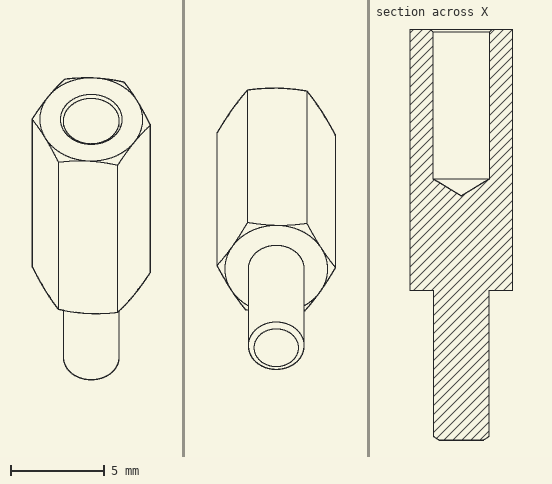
import cadquery as cq
import math

total_length = 22.0
stud_length = 8.0
across_flats = 5.5
thread_diameter = 3.0

corner_chamfer_angle = math.radians(30)
stud_chamfer_width = 0.3
stud_chamfer_height = 0.2

countersink_diameter = 3.3
countersink_depth = (countersink_diameter - thread_diameter) / 2
hole_depth = 8.0
drill_point_half_angle = math.radians(59)

flat_radius = across_flats / 2
thread_radius = thread_diameter / 2
corner_radius = flat_radius / math.cos(math.radians(30))
corner_chamfer_height = (corner_radius - flat_radius) * math.tan(corner_chamfer_angle)


def revolve_profile(points):
    """Revolve a closed (radius, height) outline around the Z axis."""
    return cq.Workplane("XZ").polyline(points).close().revolve(360, (0, 0), (0, 1))


def hexagonal_body():
    """Hexagonal bar with corners along X, turned to a cone at both ends."""
    hexagon = (
        cq.Workplane("XY")
        .workplane(offset=stud_length)
        .polygon(6, 2 * corner_radius)
        .extrude(total_length - stud_length)
    )
    turned_envelope = revolve_profile([
        (0, stud_length),
        (flat_radius, stud_length),
        (corner_radius, stud_length + corner_chamfer_height),
        (corner_radius, total_length - corner_chamfer_height),
        (flat_radius, total_length),
        (0, total_length),
    ])
    return hexagon.intersect(turned_envelope)


def stud():
    """Round stud with a chamfered tip at Z = 0."""
    return revolve_profile([
        (0, 0),
        (thread_radius - stud_chamfer_width, 0),
        (thread_radius, stud_chamfer_height),
        (thread_radius, stud_length),
        (0, stud_length),
    ])


def hole():
    """Countersunk blind hole, cut down from the top face."""
    shoulder_height = total_length - hole_depth
    point_height = thread_radius / math.tan(drill_point_half_angle)
    return revolve_profile([
        (0, total_length),
        (countersink_diameter / 2, total_length),
        (thread_radius, total_length - countersink_depth),
        (thread_radius, shoulder_height),
        (0, shoulder_height - point_height),
    ])


result = hexagonal_body().union(stud()).cut(hole())